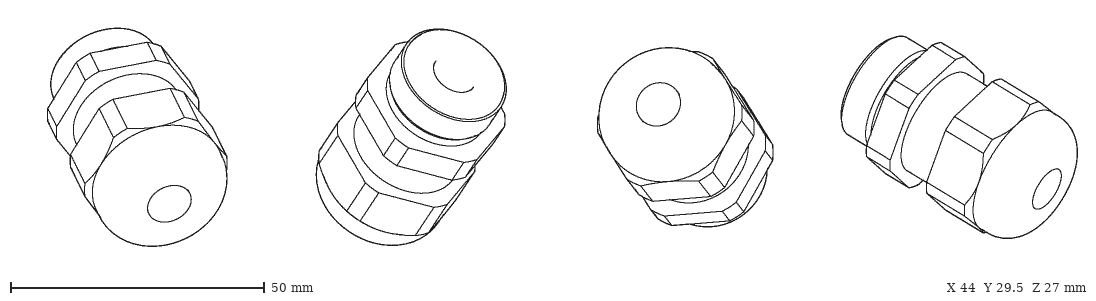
import cadquery as cq
import math

LENGTH = 44.0
BORE_DIAMETER = 9.0
EDGE_ROUND = 0.65

NECK_DIAMETER = 21.4
THREAD_DIAMETER = 22.5
THREAD_START = 0.95
THREAD_END = 7.05
UNDERCUT_START = 7.95

HEX_FLATS = 27.0
HEX_CORNER_DIAMETER = 29.5
COLLAR_START = 10.05
COLLAR_END = 16.05
CAP_START = 25.3
CAP_BEVEL_START = 34.95

BODY_DIAMETER = THREAD_DIAMETER
DOME_ROUND = 6.05


def cylinder(diameter, start, end):
    return cq.Workplane("YZ").workplane(offset=start).circle(diameter / 2).extrude(end - start)


def hexagon(start, end):
    """Hexagonal prism with flats facing up and down."""
    circumscribed = HEX_FLATS / math.cos(math.pi / 6)
    return cq.Workplane("YZ").workplane(offset=start).polygon(6, circumscribed).extrude(end - start)


def threaded_end():
    tip = cylinder(NECK_DIAMETER, 0, COLLAR_START).faces("<X").edges().fillet(EDGE_ROUND)
    neck_radius = NECK_DIAMETER / 2
    thread_radius = THREAD_DIAMETER / 2
    thread = (
        cq.Workplane("XY")
        .moveTo(THREAD_START, 0)
        .lineTo(THREAD_START, thread_radius)
        .lineTo(THREAD_END, thread_radius)
        .lineTo(UNDERCUT_START, neck_radius)
        .lineTo(UNDERCUT_START, 0)
        .close()
        .revolve(360, (0, 0, 0), (1, 0, 0))
    )
    return tip.union(thread)


def collar():
    return hexagon(COLLAR_START, COLLAR_END).intersect(
        cylinder(HEX_CORNER_DIAMETER, COLLAR_START, COLLAR_END)
    )


def cap():
    bevel = (HEX_CORNER_DIAMETER - HEX_FLATS) / 2
    bevel_end = CAP_BEVEL_START + bevel
    turned = cylinder(HEX_CORNER_DIAMETER, CAP_START, bevel_end).faces(">X").edges().chamfer(bevel)
    dome = cylinder(HEX_FLATS, bevel_end, LENGTH).faces(">X").edges().fillet(DOME_ROUND)
    return hexagon(CAP_START, bevel_end).intersect(turned).union(dome)


def bore():
    """Through hole with a rounded mouth at the thread end."""
    radius = BORE_DIAMETER / 2
    mouth_radius = radius + EDGE_ROUND
    return (
        cq.Workplane("XY")
        .lineTo(0, mouth_radius)
        .radiusArc((EDGE_ROUND, radius), -EDGE_ROUND)
        .lineTo(LENGTH, radius)
        .lineTo(LENGTH, 0)
        .close()
        .revolve(360, (0, 0, 0), (1, 0, 0))
    )


body = cylinder(BODY_DIAMETER, COLLAR_END, CAP_START)
result = threaded_end().union(collar()).union(body).union(cap()).cut(bore())